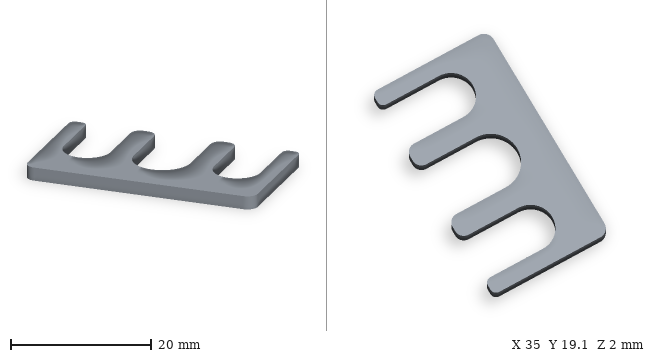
import cadquery as cq

length = 35.05
depth = 19.05
thickness = 2.0
base_corner_radius = 1.58

side_slot_width = 7.08
center_slot_width = 8.62
side_slot_offset = 11.43
slot_arc_center_y = 0.0

outer_tip_radius = 0.9
inner_tip_radius = 1.4

back_y = depth / 2


def slot_cutter(center_x, width):
    """Solid filling one slot, from its round bottom to the back edge."""
    straight_length = back_y - slot_arc_center_y
    bottom = cq.Workplane("XY").center(center_x, slot_arc_center_y).circle(width / 2).extrude(thickness)
    channel = (
        cq.Workplane("XY")
        .center(center_x, slot_arc_center_y + straight_length / 2)
        .rect(width, straight_length)
        .extrude(thickness)
    )
    return bottom.union(channel)


def round_tips(body, x_min, x_max, radius):
    """Round the upright edges at the back whose X lies between x_min and x_max."""
    margin = 0.05
    tip_region = cq.selectors.BoxSelector(
        (x_min - margin, back_y - margin, -margin),
        (x_max + margin, back_y + margin, thickness + margin),
    )
    return body.edges("|Z").edges(tip_region).fillet(radius)


plate = cq.Workplane("XY").box(length, depth, thickness, centered=(True, True, False))
plate = plate.edges("|Z and <Y").fillet(base_corner_radius)

plate = plate.cut(slot_cutter(0, center_slot_width))
for side in (-1, 1):
    plate = plate.cut(slot_cutter(side * side_slot_offset, side_slot_width))

inner_tine = (center_slot_width / 2, side_slot_offset - side_slot_width / 2)
outer_tine = (side_slot_offset + side_slot_width / 2, length / 2)
for (near_x, far_x), radius in ((inner_tine, inner_tip_radius), (outer_tine, outer_tip_radius)):
    plate = round_tips(plate, near_x, far_x, radius)
    plate = round_tips(plate, -far_x, -near_x, radius)

result = plate